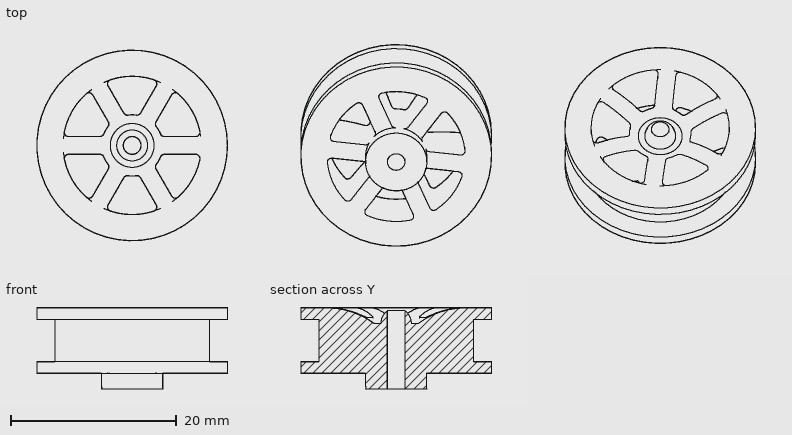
import cadquery as cq
import math

flange_radius = 11.5
flange_thickness = 1.42
drum_radius = 9.33
rim_height = 7.9
opening_radius = 8.32

hub_radius = 3.7
hub_projection = 1.9
bore_radius = 1.05
dome_radius = 1.85
dish_floor_radius = 2.65
dish_depth = 1.88

spoke_count = 6
spoke_width = 2.15
window_corner_radius = 0.5

dish_floor_z = rim_height - dish_depth


def make_disc(radius, bottom_z, height):
    return cq.Workplane("XY").workplane(offset=bottom_z).circle(radius).extrude(height)


def make_rim():
    """Solid drum with a flange at each end."""
    top_flange_z = rim_height - flange_thickness
    drum = make_disc(drum_radius, 0, rim_height)
    bottom_flange = make_disc(flange_radius, 0, flange_thickness)
    top_flange = make_disc(flange_radius, top_flange_z, flange_thickness)
    return drum.union(bottom_flange).union(top_flange)


def make_dish():
    """Recess whose convex arc leaves the rim face tangentially and drops to a flat floor."""
    run = opening_radius - dish_floor_radius
    arc_radius = (run**2 + dish_depth**2) / (2 * dish_depth)
    half_angle = math.asin(run / arc_radius) / 2
    middle = (
        opening_radius - arc_radius * math.sin(half_angle),
        rim_height - arc_radius * (1 - math.cos(half_angle)),
    )
    return (
        cq.Workplane("XZ")
        .moveTo(0, dish_floor_z)
        .lineTo(dish_floor_radius, dish_floor_z)
        .threePointArc(middle, (opening_radius, rim_height))
        .lineTo(0, rim_height)
        .close()
        .revolve(360, (0, 0, 0), (0, 1, 0))
    )


def make_windows():
    """Rounded sectors left between the hub and the rim by the spokes."""
    windows = make_disc(opening_radius, 0, rim_height).cut(make_disc(hub_radius, 0, rim_height))
    for index in range(spoke_count):
        spoke = (
            cq.Workplane("XY")
            .center(flange_radius / 2, 0)
            .rect(flange_radius, spoke_width)
            .extrude(rim_height)
            .rotate((0, 0, 0), (0, 0, 1), index * 360 / spoke_count)
        )
        windows = windows.cut(spoke)
    return windows.edges("|Z").fillet(window_corner_radius)


wheel = make_rim().cut(make_dish()).cut(make_windows())
hub_boss = make_disc(hub_radius, -hub_projection, hub_projection)
dome = cq.Workplane("XY").sphere(dome_radius).translate((0, 0, dish_floor_z))
bore = make_disc(bore_radius, -hub_projection, hub_projection + rim_height)

result = wheel.union(hub_boss).union(dome).cut(bore)